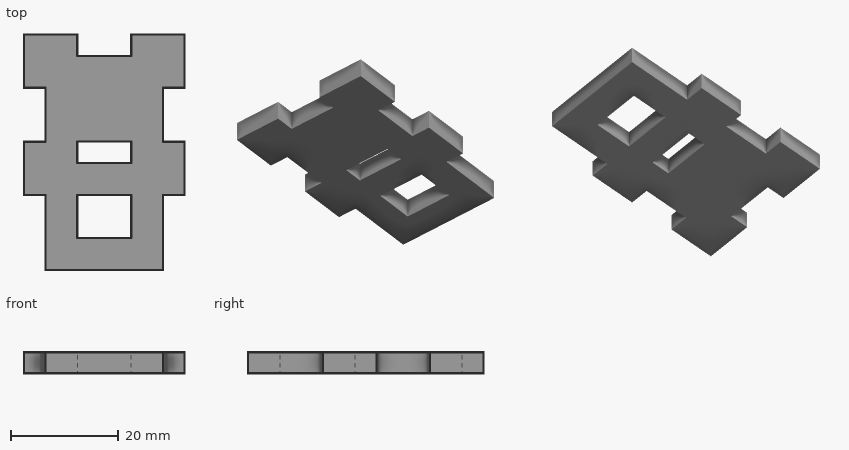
import cadquery as cq

thickness = 4.0
body_width = 22.0
length = 44.0
tab_length = 10.0
opening_width = 10.0
window_length = 8.0
window_margin = 6.0

overall_width = body_width + 2 * thickness
slot_length = thickness
rear_tab_start = length - tab_length
middle_tab_start = rear_tab_start - 2 * tab_length
middle_tab_end = middle_tab_start + tab_length


def block(width, y_start, y_length):
    """Full-thickness block centred on X, starting at y_start."""
    return (
        cq.Workplane("XY")
        .box(width, y_length, thickness, centered=(True, False, False))
        .translate((0, y_start, 0))
    )


result = block(body_width, 0, length)
for tab_start in (middle_tab_start, rear_tab_start):
    result = result.union(block(overall_width, tab_start, tab_length))

result = result.cut(block(opening_width, length - slot_length, slot_length))
result = result.cut(block(opening_width, middle_tab_end - slot_length, slot_length))
result = result.cut(block(opening_width, window_margin, window_length))